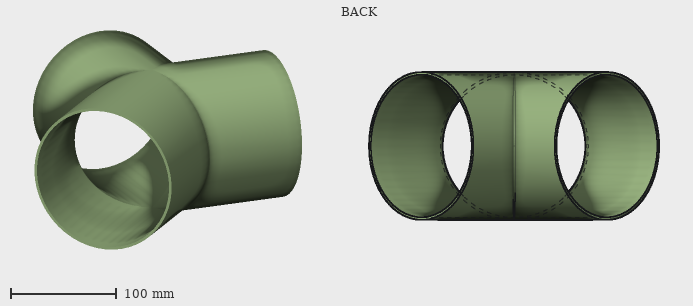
import cadquery as cq
import math

overall_width = 274.2
outer_diameter = 139.8
inner_diameter = 134.5
branch_angle = 45.0
outer_seam_radius = 2.0

wall = (outer_diameter - inner_diameter) / 2
inner_seam_radius = outer_seam_radius + wall

lean = math.radians(branch_angle)
corner_reach = outer_diameter / 2 * math.cos(lean)
leg_length = (overall_width / 2 - corner_reach) / math.sin(lean)

leg_angles = [180.0, branch_angle, -branch_angle]


def leg(diameter, angle):
    """Round bar from the origin outwards, its axis in the XY plane."""
    bar = cq.Workplane("XZ").circle(diameter / 2).extrude(-leg_length)
    return bar.rotate((0, 0, 0), (0, 0, 1), angle)


def y_body(diameter, seam_radius):
    """Three solid legs joined at the origin, the elliptical seams between them rounded."""
    trunk, *branches = [leg(diameter, angle) for angle in leg_angles]
    body = trunk
    for branch in branches:
        body = body.union(branch)
    return body.edges("%ELLIPSE").fillet(seam_radius)


outside = y_body(outer_diameter, outer_seam_radius)
bore = y_body(inner_diameter, inner_seam_radius)
result = outside.cut(bore)